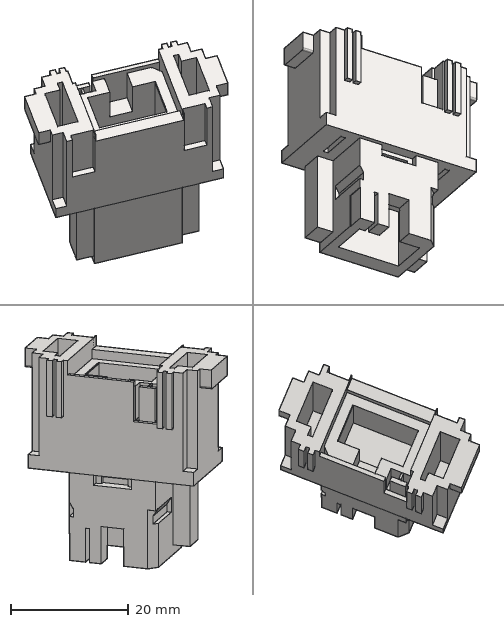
import cadquery as cq


total_height = 36.0
housing_bottom = 16.0
corner_ledge = 18.45
rib_bottom = 25.95
tab_bottom = 32.55
floor_level = 32.55
front_wall_top = 33.45
back_wall_top = 34.2

housing_half_x = 7.35
housing_half_y = 14.95
corner_x = 2.05
corner_y = 1.95

plug_half_x = 6.6
plug_half_y = 7.8
plug_chamfer = 1.45
plug_chamfer_height = 10.55
back_wall_x = 5.15
wing_x = (2.2, 6.35)
wing_end_y = 10.9
wing_bottom = 1.8

rib_depth = 0.9
rib_spans = ((8.6, 9.6), (10.25, 11.3))
rib_recess_y = (7.95, 11.95)
rib_recess_depth = 1.05
tab_end_y = 17.0
tab_half_x_rear = 3.15
tab_half_x_front = 4.15
tab_radius = 0.35

pocket_half_x = 3.75
pocket_y = (9.9, 13.5)
vent_x = (-5.3, 0.4)
vent_y = (pocket_y[0], 10.8)

cavity_half_x = 3.45
cavity_half_y = 5.98
cavity_depth = 10.8
latch_half_y = 2.0
latch_depth = 6.7
rebate_width = 0.1
rebate_depth = 0.18

window_y = (-8.3, -4.05)
window_bottom = 26.35
niche_y_max = -4.2
niche_x_max = -4.5
niche_floor = 26.45
key_x_max = -5.8
key_y = (-7.7, -4.82)
key_top = 32.45
key_rib_x_min = -5.6
key_rib_y = (-6.5, -6.12)
drain_x_min = -5.3
drain_undercut_top = 29.55
drain_undercut = 0.35

groove_depth = 0.75
groove_bottom = 7.9
groove_knee = 9.3
groove_top = plug_chamfer_height
groove_end_x = 1.45
catch_bottom = 13.95
catch_half_y = 3.42
catch_depth = 1.25
catch_inner_half_y = 2.4
catch_inner_top = 15.23
catch_inner_depth = 1.98
slit_y = (4.18, 4.85)
slit_height = 6.1
finger_relief = 0.1


def block(x, y, z):
    """Box filling the given (low, high) ranges, in either order."""
    low = [min(span) for span in (x, y, z)]
    high = [max(span) for span in (x, y, z)]
    size = [b - a for a, b in zip(low, high)]
    return cq.Workplane("XY").box(*size, centered=False).translate(tuple(low))


def corner_prism(side_y, bottom):
    """Triangular prism that cuts a -X corner of the plug outline at 45 degrees."""
    y = side_y * plug_half_y
    corner = [
        (-plug_half_x, y),
        (-plug_half_x + plug_chamfer, y),
        (-plug_half_x, y - side_y * plug_chamfer),
    ]
    prism = cq.Workplane("XY").polyline(corner).close().extrude(plug_chamfer_height)
    return prism.translate((0, 0, bottom))


def housing():
    """Upper housing with a stepped saddle, a pit in one corner of its floor and cut-back corners."""
    full_x = (-housing_half_x, housing_half_x)
    body = block(full_x, (-housing_half_y, housing_half_y), (housing_bottom, total_height))
    saddle = [
        (-housing_half_x, total_height),
        (-housing_half_x, front_wall_top),
        (-plug_half_x, front_wall_top),
        (-plug_half_x, floor_level),
        (back_wall_x, floor_level),
        (back_wall_x, back_wall_top),
        (housing_half_x, back_wall_top),
        (housing_half_x, total_height),
    ]
    body = body.cut(cq.Workplane("XZ").polyline(saddle).close().extrude(plug_half_y, both=True))
    body = body.cut(corner_prism(1, floor_level - plug_chamfer_height))

    for side_x in (-1, 1):
        for side_y in (-1, 1):
            corner = block(
                (side_x * (housing_half_x - corner_x), side_x * housing_half_x),
                (side_y * (housing_half_y - corner_y), side_y * housing_half_y),
                (corner_ledge, total_height),
            )
            body = body.cut(corner)
    return body


def tab(half_x, side_y):
    """Finger tab at one end, with rounded lower corners."""
    root_y = side_y * (housing_half_y - corner_y)
    plate = block((-half_x, half_x), (root_y, side_y * tab_end_y), (tab_bottom, total_height))
    return plate.edges("|Y and <Z").fillet(tab_radius)


def tower_ribs(side_y):
    """Pair of upright mating ribs on the -X face."""
    ribs = cq.Workplane("XY")
    for near, far in rib_spans:
        ribs = ribs.union(block(
            (-housing_half_x - rib_depth, -housing_half_x),
            (side_y * near, side_y * far),
            (rib_bottom, total_height),
        ))
    return ribs


def tower_cuts(side_y):
    """Pocket, through vent and rib recess of one tower."""
    def across(span):
        return (side_y * span[0], side_y * span[1])

    pocket = block((-pocket_half_x, pocket_half_x), across(pocket_y), (corner_ledge, total_height))
    vent = block(vent_x, across(vent_y), (housing_bottom, total_height))
    recess = block(
        (housing_half_x - rib_recess_depth, housing_half_x),
        across(rib_recess_y),
        (rib_bottom, total_height),
    )
    return pocket.union(vent).union(recess)


def groove(side_y):
    """Latching groove with a sloping upper flank, running in from the -X face."""
    outer = side_y * plug_half_y
    inner = side_y * (plug_half_y - groove_depth)
    profile = [(outer, groove_bottom), (inner, groove_bottom), (inner, groove_knee), (outer, groove_top)]
    bar = cq.Workplane("YZ").polyline(profile).close().extrude(groove_end_x + plug_half_x)
    return bar.translate((-plug_half_x, 0, 0))


def plug_body():
    """Lower plug body with its two side wings."""
    body = block((-plug_half_x, plug_half_x), (-plug_half_y, plug_half_y), (0, housing_bottom))
    body = body.cut(corner_prism(-1, 0))
    for side_y in (-1, 1):
        body = body.cut(groove(side_y))
    return body.union(block(wing_x, (-wing_end_y, wing_end_y), (wing_bottom, housing_bottom)))


def jack_cavities():
    """Both jack openings with their latch slots toward -X."""
    def jack(mouth, direction):
        end = mouth + direction * cavity_depth
        latch_end = mouth + direction * latch_depth
        opening = block((-cavity_half_x, cavity_half_x), (-cavity_half_y, cavity_half_y), (mouth, end))
        return opening.union(block((-plug_half_x, 0), (-latch_half_y, latch_half_y), (mouth, latch_end)))

    rebate = block(
        (-cavity_half_x, cavity_half_x),
        (0, cavity_half_y + rebate_width),
        (floor_level - rebate_depth, floor_level),
    )
    return jack(floor_level, -1).union(jack(0, 1)).union(rebate)


def window_cut():
    """Window through the -X wall, the niche behind it and the drain down through the housing."""
    window = block((-housing_half_x, -plug_half_x), window_y, (window_bottom, total_height))
    niche = block((-plug_half_x, niche_x_max), (-plug_half_y, niche_y_max), (niche_floor, floor_level))
    passage_y = (window_y[0], -plug_half_y)
    passage = block((-plug_half_x, niche_x_max), passage_y, (window_bottom, total_height))
    drain = block((drain_x_min, niche_x_max), passage_y, (housing_bottom, total_height))
    undercut = block(
        (niche_x_max, niche_x_max + drain_undercut), passage_y, (window_bottom, drain_undercut_top),
    )
    return window.union(niche).union(passage).union(drain).union(undercut)


def window_key():
    """Key block standing in the niche and the small rib behind it."""
    key = block((-plug_half_x, key_x_max), key_y, (niche_floor, key_top))
    rib = block((key_rib_x_min, niche_x_max), key_rib_y, (niche_floor, key_top))
    return key.union(rib)


def catch_recess():
    """Stepped catch recess in the -X face just under the housing."""
    outer = block(
        (-plug_half_x, -plug_half_x + catch_depth),
        (-catch_half_y, catch_half_y),
        (catch_bottom, housing_bottom),
    )
    inner = block(
        (-plug_half_x, -plug_half_x + catch_inner_depth),
        (-catch_inner_half_y, catch_inner_half_y),
        (catch_bottom, catch_inner_top),
    )
    return outer.union(inner)


def spring_finger():
    """Slit and side relief that free a finger at the -X, +Y corner."""
    wall_x = (-plug_half_x, -cavity_half_x)
    slit = block(wall_x, slit_y, (0, slit_height))
    relief = block(wall_x, (plug_half_y - finger_relief, plug_half_y), (0, slit_height))
    return slit.union(relief)


result = housing().union(plug_body())
result = result.union(tab(tab_half_x_rear, 1)).union(tab(tab_half_x_front, -1))
for side in (-1, 1):
    result = result.union(tower_ribs(side)).cut(tower_cuts(side))
result = result.cut(jack_cavities()).cut(catch_recess()).cut(spring_finger())
result = result.cut(window_cut()).union(window_key())